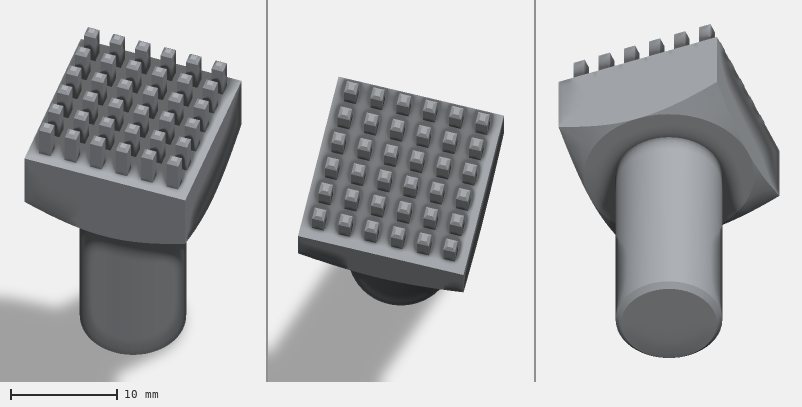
import cadquery as cq
import math

total_height = 31.5
head_side = 16.0
head_height = 8.0
shank_length = 20.0
shank_diameter = 10.02
shank_chamfer = 0.5
corner_bevel_angle = 30.0

pins_per_side = 6
pin_grid_span = 12.7
pin_side = 1.13
pin_tip_chamfer = 0.3

head_bottom = shank_length
head_top = head_bottom + head_height
pin_height = total_height - head_top
pin_pitch = pin_grid_span / (pins_per_side - 1)


def make_shank():
    """Round shank with a chamfered free end."""
    shank = cq.Workplane("XY").circle(shank_diameter / 2).extrude(shank_length)
    return shank.faces("<Z").chamfer(shank_chamfer)


def make_head():
    """Square head whose lower corners are bevelled by a cone that touches the mid-sides."""
    head = (
        cq.Workplane("XY")
        .workplane(offset=head_bottom)
        .rect(head_side, head_side)
        .extrude(head_height)
    )
    inner_radius = head_side / 2
    outer_radius = inner_radius + head_height / math.tan(math.radians(corner_bevel_angle))
    cone = (
        cq.Workplane("XZ")
        .moveTo(0, head_bottom)
        .lineTo(inner_radius, head_bottom)
        .lineTo(outer_radius, head_top)
        .lineTo(0, head_top)
        .close()
        .revolve()
    )
    return head.intersect(cone)


def make_pins():
    """Square grid of square pins with chamfered tips."""
    pins = (
        cq.Workplane("XY")
        .workplane(offset=head_top)
        .rarray(pin_pitch, pin_pitch, pins_per_side, pins_per_side)
        .rect(pin_side, pin_side)
        .extrude(pin_height)
    )
    return pins.faces(">Z").chamfer(pin_tip_chamfer)


result = make_shank().union(make_head()).union(make_pins())